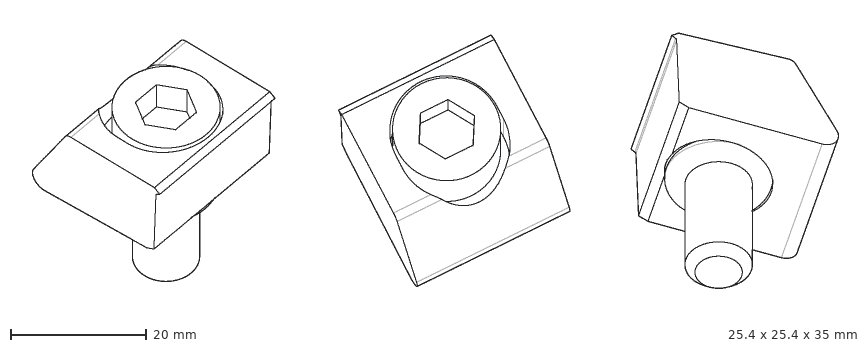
import cadquery as cq
import math


screw_length = 35.0
shank_diameter = 10.0
tip_chamfer = 1.5
head_diameter = 16.0
head_height = 10.0
socket_across_flats = 8.0
socket_depth = 5.0
head_underside = screw_length - head_height

block_width = 25.4
block_length = 25.4
nose_tip_x = 10.25
nose_tip_z = 34.1
heel_x = nose_tip_x - block_length
block_bottom = 17.2
heel_radius = 2.2
back_angle = 62.6
underside_angle = 8.0
top_angle = 5.2
top_back_radius = 1.5
nose_start_x = 9.2
nose_start_z = 34.8
undercut_x = 9.5
undercut_z = 33.5
undercut_radius = 0.4
front_bottom_x = 9.1
front_bottom_z = 20.9
bevel_start_x = 7.65

head_clearance = 0.4
pocket_width = head_diameter + 2 * head_clearance
pocket_offset = 2.1

ring_section_diameter = 3.55
ring_outer_diameter = 16.0
ring_section_radius = ring_section_diameter / 2
ring_middle_radius = ring_outer_diameter / 2 - ring_section_radius
ring_middle_z = block_bottom + ring_section_radius


def make_screw():
    head = cq.Workplane("XY", origin=(0, 0, head_underside)).circle(head_diameter / 2).extrude(head_height)
    shank = cq.Workplane("XY").circle(shank_diameter / 2).extrude(head_underside)
    shank = shank.faces("<Z").chamfer(tip_chamfer)
    socket_corner_diameter = socket_across_flats / math.cos(math.pi / 6)
    socket = (
        cq.Workplane("XY", origin=(0, 0, screw_length))
        .transformed(rotate=(0, 0, 90))
        .polygon(6, socket_corner_diameter)
        .extrude(-socket_depth)
    )
    return head.union(shank).cut(socket)


def heel_point(degrees):
    """Point on the rounded heel of the block, at an angle measured from +X towards +Z."""
    angle = math.radians(degrees)
    center_x = heel_x + heel_radius
    center_z = block_bottom + heel_radius
    return center_x + heel_radius * math.cos(angle), center_z + heel_radius * math.sin(angle)


def make_block_body():
    back_slope = math.tan(math.radians(back_angle))
    underside_slope = math.tan(math.radians(underside_angle))
    top_slope = math.tan(math.radians(top_angle))

    heel_back = heel_point(90 + back_angle)
    heel_middle = heel_point(180 + (back_angle + underside_angle) / 2)
    heel_underside = heel_point(270 + underside_angle)

    bevel_start_z = heel_underside[1] + underside_slope * (bevel_start_x - heel_underside[0])

    top_back_x = (
        nose_start_z - heel_back[1] + back_slope * heel_back[0] - top_slope * nose_start_x
    ) / (back_slope - top_slope)
    top_back_z = heel_back[1] + back_slope * (top_back_x - heel_back[0])

    body = (
        cq.Workplane("XZ")
        .moveTo(*heel_back)
        .threePointArc(heel_middle, heel_underside)
        .lineTo(bevel_start_x, bevel_start_z)
        .lineTo(front_bottom_x, front_bottom_z)
        .lineTo(undercut_x, undercut_z)
        .lineTo(nose_tip_x, nose_tip_z)
        .lineTo(nose_start_x, nose_start_z)
        .lineTo(top_back_x, top_back_z)
        .close()
        .extrude(block_width / 2, both=True)
    )
    top_back_edge = cq.selectors.NearestToPointSelector((top_back_x, 0, top_back_z))
    undercut_edge = cq.selectors.NearestToPointSelector((undercut_x, 0, undercut_z))
    body = body.edges(top_back_edge).fillet(top_back_radius)
    return body.edges(undercut_edge).fillet(undercut_radius)


def make_head_pocket():
    return (
        cq.Workplane("XY", origin=(0, 0, head_underside))
        .center(-pocket_offset / 2, 0)
        .slot2D(pocket_width + pocket_offset, pocket_width)
        .extrude(head_height)
    )


def make_shank_hole():
    return cq.Workplane("XY").circle(shank_diameter / 2).extrude(screw_length)


def make_ring_recess():
    recess_top = ring_middle_z + ring_section_radius
    return cq.Workplane("XY").circle(ring_outer_diameter / 2).extrude(recess_top)


def make_block():
    return make_block_body().cut(make_head_pocket()).cut(make_shank_hole()).cut(make_ring_recess())


def make_ring():
    torus = (
        cq.Workplane("XZ")
        .center(ring_middle_radius, ring_middle_z)
        .circle(ring_section_radius)
        .revolve(360, (-ring_middle_radius, 0), (-ring_middle_radius, 1))
    )
    return torus.cut(make_shank_hole())


screw = make_screw()
block = make_block()
ring = make_ring()

result = cq.Compound.makeCompound([screw.solids().val(), block.solids().val(), ring.solids().val()])